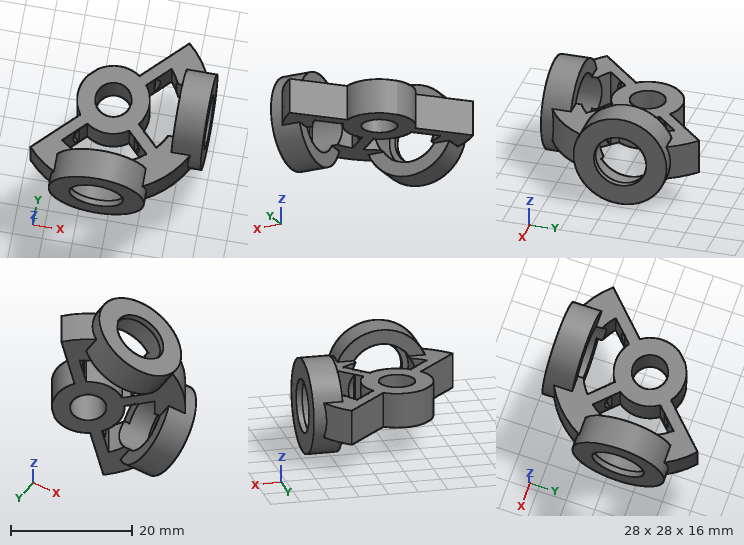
import cadquery as cq
import math

outer_radius = 32.0 / 2
rim_inner_radius = 11.0
plate_height = 6.0
hub_diameter = 12.0
hub_hole_diameter = 6.0
spoke_width = 2.0
seat_diameter = 16.0
pocket_diameter = 11.0
window_diameter = 9.0
lip_thickness = 1.0

flat_angle = 135
flat_distance = math.sqrt((hub_diameter / 2) ** 2 - (spoke_width / 2) ** 2)

spoke_angles = [45, -45, -135]
seat_angles = [0, -90]


def upright_cylinder(diameter):
    """Cylinder of plate height about the hub axis, centred on Z = 0."""
    return cq.Workplane("XY").circle(diameter / 2).extrude(plate_height / 2, both=True)


def seat_cylinder(diameter, start, end, angle):
    """Horizontal cylinder between two distances from the hub axis, turned about Z."""
    cylinder = cq.Workplane("YZ", origin=(start, 0, 0)).circle(diameter / 2).extrude(end - start)
    return cylinder.rotate((0, 0, 0), (0, 0, 1), angle)


def make_rim():
    """Half ring, cut off flush with the outer sides of the two end spokes."""
    ring = upright_cylinder(2 * outer_radius).cut(upright_cylinder(2 * rim_inner_radius))
    half_space = (
        cq.Workplane("XY")
        .box(outer_radius + spoke_width / 2, 2 * outer_radius, plate_height, centered=(False, True, True))
        .translate((-spoke_width / 2, 0, 0))
        .rotate((0, 0, 0), (0, 0, 1), -45)
    )
    return ring.intersect(half_space)


def make_spoke(angle):
    """Straight bar from the hub axis into the rim."""
    length = (rim_inner_radius + outer_radius) / 2
    bar = cq.Workplane("XY").box(length, spoke_width, plate_height, centered=(False, True, True))
    return bar.rotate((0, 0, 0), (0, 0, 1), angle)


def make_hub():
    """Hub cylinder with the narrow flat on its free side."""
    waste = (
        cq.Workplane("XY")
        .box(hub_diameter, hub_diameter, plate_height, centered=(False, True, True))
        .translate((flat_distance, 0, 0))
        .rotate((0, 0, 0), (0, 0, 1), flat_angle)
    )
    return upright_cylinder(hub_diameter).cut(waste)


body = make_rim().union(make_hub())
for angle in spoke_angles:
    body = body.union(make_spoke(angle))

for angle in seat_angles:
    body = body.union(seat_cylinder(seat_diameter, rim_inner_radius, outer_radius, angle))

pocket_start = hub_diameter / 2
for angle in seat_angles:
    body = body.cut(seat_cylinder(pocket_diameter, pocket_start, outer_radius - lip_thickness, angle))
    body = body.cut(seat_cylinder(window_diameter, pocket_start, outer_radius, angle))

result = body.cut(upright_cylinder(hub_hole_diameter))